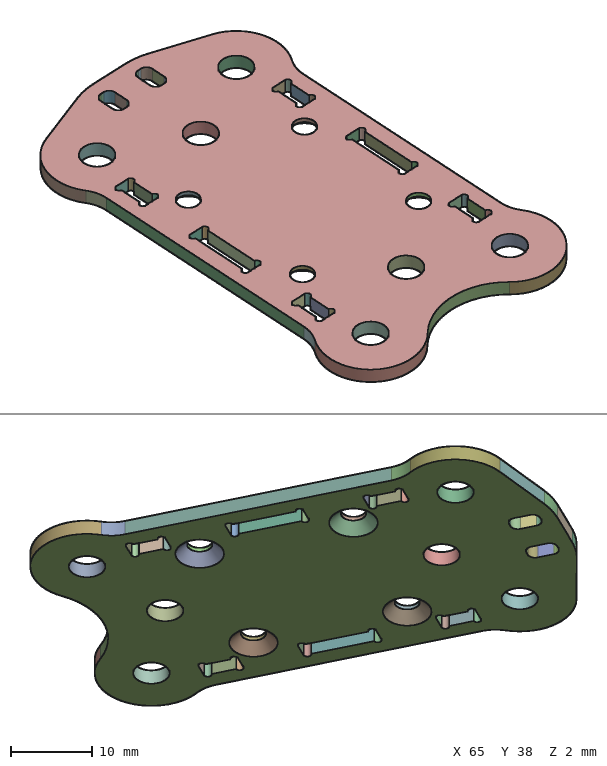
import cadquery as cq
import math

length = 65.0
width = 37.95
thickness = 2.0

pad_pitch_x = 47.95
pad_pitch_y = 24.0
pad_x = pad_pitch_x / 2
pad_y = pad_pitch_y / 2
pad_radius = width / 2 - pad_y
side_y = 16.95
neck_radius = 5.0
nose_x = pad_x + pad_radius - length
nose_corner_y = 4.5
nose_radius = 10.0
tail_radius = 10.0

large_hole_diameter = 4.5
small_hole_diameter = 3.1
countersink_diameter = 6.0
countersink_angle = 90.0
center_hole_pitch = 36.0
small_hole_pitch = 20.0

slot_y = 13.5
slot_height = 2.15
relief_diameter = 1.0
relief_span = 3.0
short_slot_length = 5.15
long_slot_length = 10.15
short_slot_offset = 15.45

window_length = 4.0
window_height = 2.4
window_corner_radius = 1.0
window_edge_gap = 2.0
window_pitch = 6.45


def polar(center, radius, angle):
    return (center[0] + radius * math.cos(angle), center[1] + radius * math.sin(angle))


def mirrored(point):
    return (point[0], -point[1])


def make_plate():
    """Plate with every arc tangent to its neighbours, symmetric about the X axis."""
    left_pad = (-pad_x, pad_y)
    right_pad = (pad_x, pad_y)

    neck_y = side_y + neck_radius
    neck_reach = math.sqrt((pad_radius + neck_radius) ** 2 - (neck_y - pad_y) ** 2)
    neck_angle = math.atan2(neck_y - pad_y, neck_reach)
    left_neck = (-pad_x + neck_reach, neck_y)
    right_neck = (pad_x - neck_reach, neck_y)

    tail_reach = math.sqrt((pad_radius + tail_radius) ** 2 - pad_y ** 2)
    tail_center = (pad_x + tail_reach, 0)
    tail_angle = math.atan2(-pad_y, tail_reach)

    corner_run = -pad_x - nose_x
    corner_rise = pad_y - nose_corner_y
    slope_angle = math.atan2(corner_rise, corner_run)
    slope_angle += math.asin(pad_radius / math.hypot(corner_run, corner_rise))
    normal_angle = slope_angle + math.pi / 2
    turn = math.pi - normal_angle
    nose_center = (nose_x + nose_radius, nose_corner_y - nose_radius * math.tan(turn / 2))

    nose_flat_end = (nose_x, nose_center[1])
    nose_arc_mid = polar(nose_center, nose_radius, math.pi - turn / 2)
    nose_arc_end = polar(nose_center, nose_radius, normal_angle)
    left_pad_start = polar(left_pad, pad_radius, normal_angle)
    left_pad_mid = polar(left_pad, pad_radius, (normal_angle + neck_angle) / 2)
    left_pad_end = polar(left_pad, pad_radius, neck_angle)
    left_neck_mid = polar(left_neck, neck_radius, neck_angle / 2 - 3 * math.pi / 4)
    right_neck_mid = polar(right_neck, neck_radius, -math.pi / 4 - neck_angle / 2)
    right_pad_start = polar(right_pad, pad_radius, math.pi - neck_angle)
    right_pad_mid = polar(right_pad, pad_radius, (math.pi - neck_angle + tail_angle) / 2)
    right_pad_end = polar(right_pad, pad_radius, tail_angle)
    tail_mid = (tail_center[0] - tail_radius, 0)

    outline = (
        cq.Workplane("XY")
        .moveTo(*nose_flat_end)
        .threePointArc(nose_arc_mid, nose_arc_end)
        .lineTo(*left_pad_start)
        .threePointArc(left_pad_mid, left_pad_end)
        .threePointArc(left_neck_mid, (left_neck[0], side_y))
        .lineTo(right_neck[0], side_y)
        .threePointArc(right_neck_mid, right_pad_start)
        .threePointArc(right_pad_mid, right_pad_end)
        .threePointArc(tail_mid, mirrored(right_pad_end))
        .threePointArc(mirrored(right_pad_mid), mirrored(right_pad_start))
        .threePointArc(mirrored(right_neck_mid), (right_neck[0], -side_y))
        .lineTo(left_neck[0], -side_y)
        .threePointArc(mirrored(left_neck_mid), mirrored(left_pad_end))
        .threePointArc(mirrored(left_pad_mid), mirrored(left_pad_start))
        .lineTo(*mirrored(nose_arc_end))
        .threePointArc(mirrored(nose_arc_mid), mirrored(nose_flat_end))
        .close()
    )
    return outline.extrude(thickness)


def add_countersunk_holes(plate):
    return (
        plate.faces("<Z")
        .workplane(origin=(0, 0, 0))
        .rarray(small_hole_pitch, small_hole_pitch, 2, 2)
        .cskHole(small_hole_diameter, countersink_diameter, countersink_angle)
    )


def make_large_holes():
    corner = (
        cq.Workplane("XY")
        .rarray(pad_pitch_x, pad_pitch_y, 2, 2)
        .circle(large_hole_diameter / 2)
        .extrude(thickness)
    )
    center = (
        cq.Workplane("XY")
        .rarray(center_hole_pitch, 0.65, 2, 1)
        .circle(large_hole_diameter / 2)
        .extrude(thickness)
    )
    return corner.union(center)


def make_relieved_slot(x, y, slot_length):
    """Rectangular slot with a round-ended relief across each end."""
    slot = cq.Workplane("XY").center(x, y).rect(slot_length, slot_height).extrude(thickness)
    reliefs = (
        cq.Workplane("XY")
        .center(x, y)
        .rarray(slot_length - relief_diameter, 0.65, 2, 1)
        .slot2D(relief_span, relief_diameter, 90)
        .extrude(thickness)
    )
    return slot.union(reliefs)


def make_windows():
    return (
        cq.Workplane("XY")
        .center(nose_x + window_edge_gap + window_length / 2, 0)
        .rarray(0.65, window_pitch, 1, 2)
        .rect(window_length, window_height)
        .extrude(thickness)
        .edges("|Z")
        .fillet(window_corner_radius)
    )


result = add_countersunk_holes(make_plate()).cut(make_large_holes()).cut(make_windows())
for row_y in (-slot_y, slot_y):
    result = result.cut(make_relieved_slot(0, row_y, long_slot_length))
    for slot_x in (-short_slot_offset, short_slot_offset):
        result = result.cut(make_relieved_slot(slot_x, row_y, short_slot_length))